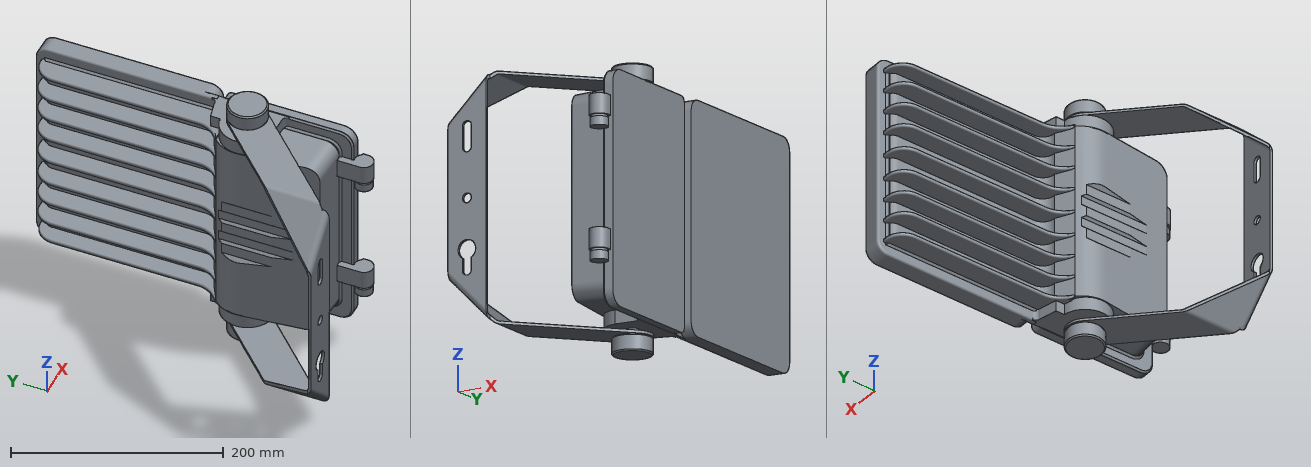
import cadquery as cq
import math


SIN45 = math.sqrt(0.5)

HALF_WIDTH = 114.7
RIM_BACK_X = 20.5
RIM_FRONT_X = 39.3
RIM_TOP_Y = 227.5
RIM_BOTTOM_Y = 42.0
RIM_CORNER_R = 13.0
RIM_EDGE_R = 2.5

PARTING_X = 26.0

BODY_HALF_WIDTH = 102.0
BODY_DRAFT = 2.5
FOOT_FLARE = 2.0
BULGE_R = 35.0
BULGE_CENTER_X = 7.5
BOX_TAPER = math.radians(6.7)
BOX_BOTTOM_Y = -84.5
BOX_CORNER_R = 14.5
FLOOR_X = 14.7
FLOOR_TOP_Y = 216.0
FLOOR_END_LENGTH = 8.5
FLOOR_BLEND_R = 14.0
FLOOR_BLEND_Y = 49.0
FIN_TIP_X = -5.0
OUTER_FIN_TIP_X = -2.8
FIN_TOP_Y = 221.0
FIN_TOP_R = 21.0
FIN_BLEND_R = 28.0
FIN_THICKNESS = 4.2
FIN_EDGE_R = 1.8
INNER_FIN_OFFSETS = (27.0, 52.0, 76.5)
OUTER_FIN_OFFSET = BODY_HALF_WIDTH - FIN_THICKNESS / 2

RECESS_X = -24.0
RECESS_HALF_WIDTH = 31.2
GROOVE_X = -21.5
GROOVE_HALF_WIDTH = 5.0
GROOVE_OFFSET = 12.5
RECESS_MOUTH_X = -35.0

EAR_Z = 114.5
EAR_ROOT_Z = 98.2
EAR_R = 27.0
EAR_SHOULDER_X = -3.5
EAR_SHOULDER_Y = 36.5
EAR_TOP_Y = 41.0
EAR_FILLET_R = 5.0

FLANGE_X = 24.0
FLANGE_CHAMFER = 1.8
LID_FRONT_X = 35.0
LID_TOP_Y = 36.5
LID_BOTTOM_Y = -98.0
LID_TOP_CORNER_R = 5.5
LID_BOTTOM_CORNER_R = 14.7

HINGE_R = 9.5
HINGE_X = 26.3
HINGE_Y = -108.0
HINGE_WEB_Y = -103.0
HINGE_TOPS = (86.0, -44.0)
HINGE_ARM_HEIGHT = 19.5
PIN_R = 4.2
PIN_DEPTH = 14.0
PIN_HEAD_R = 8.8
PIN_HEAD_HEIGHT = 11.0
PIN_HEAD_CHAMFER = 2.5
PIN_HEAD_CHAMFER_IN = 1.0

SHEET = 2.8
BEND_R = 6.3
STRIP_HALF_WIDTH = 20.0
BRACKET_Z = 122.5
BRACKET_BEND_X = -83.5
BRACKET_BACK_X = -129.0
BASE_FRONT_X = -87.7
BASE_Y = -123.5
SLOT_X = -108.5
SLOT_WIDTH = 9.5
SLOT_END = 74.7
SLOT_START = 44.5
KEYHOLE_DIA = 19.0
KEYHOLE_Z = -49.8

BOLT_DIA = 12.5
KNOB_DIA = 39.3
KNOB_TOP_Z = 139.3
KNOB_CHAMFER = 1.5


def box(x, y, z):
    """Box between pairs of limits."""
    size = (x[1] - x[0], y[1] - y[0], z[1] - z[0])
    return cq.Workplane("XY").box(*size, centered=False).translate((x[0], y[0], z[0]))


def extruded(profile, z_from, z_to):
    """XY profile extruded between two heights."""
    return profile.extrude(z_to - z_from).translate((0, 0, z_from))


def bulge_point(angle):
    """Point on the bulge arc, at an angle from -X towards +Y."""
    return (BULGE_CENTER_X - BULGE_R * math.cos(angle), BULGE_R * math.sin(angle))


def make_draft_envelope():
    """Block with drafted sides and rounded lower corners that bounds the gear box."""
    height = RIM_TOP_Y - BOX_BOTTOM_Y
    base = cq.Workplane("YZ").center(RIM_TOP_Y - height / 2, 0).rect(height, 2 * BODY_HALF_WIDTH)
    block = base.extrude(RECESS_MOUTH_X - PARTING_X, taper=BODY_DRAFT)
    block = block.translate((PARTING_X, 0, 0))
    return block.faces("<Y").edges("not(|Z)").fillet(BOX_CORNER_R)


def make_gear_box():
    """Bulge and tapered gear box."""
    taper_start = bulge_point(-BOX_TAPER)
    bottom_x = taper_start[0] + (taper_start[1] - BOX_BOTTOM_Y) * math.tan(BOX_TAPER)
    profile = (
        cq.Workplane("XY")
        .moveTo(PARTING_X, BOX_BOTTOM_Y)
        .lineTo(bottom_x, BOX_BOTTOM_Y)
        .lineTo(*taper_start)
        .threePointArc(bulge_point(math.pi / 8), bulge_point(math.pi / 4))
        .lineTo(PARTING_X, bulge_point(math.pi / 4)[1])
        .close()
    )
    return extruded(profile, -BODY_HALF_WIDTH, BODY_HALF_WIDTH)


def make_finned_floor():
    """Floor between the fins, sweeping up to the bulge."""
    end_y = FLOOR_TOP_Y - FLOOR_END_LENGTH
    end_depth = RIM_BACK_X - FLOOR_X
    end_r = (end_depth**2 + FLOOR_END_LENGTH**2) / (2 * end_depth)
    end_half_angle = math.asin(FLOOR_END_LENGTH / end_r) / 2
    end_mid = (
        FLOOR_X + end_r * (1 - math.cos(end_half_angle)),
        end_y + end_r * math.sin(end_half_angle),
    )
    blend_mid = (
        FLOOR_X - FLOOR_BLEND_R * (1 - SIN45),
        FLOOR_BLEND_Y - FLOOR_BLEND_R * SIN45,
    )
    profile = (
        cq.Workplane("XY")
        .moveTo(PARTING_X, FLOOR_TOP_Y)
        .lineTo(RIM_BACK_X, FLOOR_TOP_Y)
        .threePointArc(end_mid, (FLOOR_X, end_y))
        .lineTo(FLOOR_X, FLOOR_BLEND_Y)
        .threePointArc(blend_mid, (FLOOR_X - FLOOR_BLEND_R, FLOOR_BLEND_Y - FLOOR_BLEND_R))
        .lineTo(*bulge_point(math.pi / 4))
        .lineTo(PARTING_X, bulge_point(math.pi / 4)[1])
        .close()
    )
    return extruded(profile, -BODY_HALF_WIDTH, BODY_HALF_WIDTH)


def make_fin(z, tip_x):
    """One fin, rounded at its top and blending into the bulge at 45 degrees."""
    bulge_end = bulge_point(math.pi / 4)
    blend_x = tip_x - FIN_BLEND_R * (1 - SIN45)
    blend_y = bulge_end[1] + blend_x - bulge_end[0]
    tip_y = blend_y + FIN_BLEND_R * SIN45
    blend_mid = (
        tip_x - FIN_BLEND_R * (1 - math.cos(math.pi / 8)),
        tip_y - FIN_BLEND_R * math.sin(math.pi / 8),
    )
    top_mid = (
        tip_x + FIN_TOP_R * (1 - SIN45),
        FIN_TOP_Y - FIN_TOP_R * (1 - SIN45),
    )
    profile = (
        cq.Workplane("XY")
        .moveTo(PARTING_X, FIN_TOP_Y)
        .lineTo(tip_x + FIN_TOP_R, FIN_TOP_Y)
        .threePointArc(top_mid, (tip_x, FIN_TOP_Y - FIN_TOP_R))
        .lineTo(tip_x, tip_y)
        .threePointArc(blend_mid, (blend_x, blend_y))
        .lineTo(*bulge_end)
        .lineTo(PARTING_X, bulge_end[1])
        .close()
    )
    fin = extruded(profile, z - FIN_THICKNESS / 2, z + FIN_THICKNESS / 2)
    return fin.faces("<Z or >Z").edges("not(>X or <Y)").fillet(FIN_EDGE_R)


def make_foot(face_x, bottom_y, top_y, rounded):
    """Plate under the body whose edge flares out at 45 degrees onto the face it stands on."""
    half_width = BODY_HALF_WIDTH + FOOT_FLARE
    plate = box((face_x - FOOT_FLARE, PARTING_X), (bottom_y, top_y), (-half_width, half_width))
    if rounded:
        plate = plate.edges("|X and <Y").fillet(BOX_CORNER_R)
    return plate.faces("<X").edges().chamfer(FOOT_FLARE)


def make_fins():
    """All fins; the two outermost are lower and lie flush with the sides."""
    fins = make_fin(0, FIN_TIP_X)
    for side in (-1, 1):
        for offset in INNER_FIN_OFFSETS:
            fins = fins.union(make_fin(side * offset, FIN_TIP_X))
        fins = fins.union(make_fin(side * OUTER_FIN_OFFSET, OUTER_FIN_TIP_X))
    return fins


def make_rim():
    """Frame around the light opening: a back part that joins the ears and a rounded front part."""
    back = box((RIM_BACK_X, PARTING_X), (EAR_TOP_Y, RIM_TOP_Y), (-HALF_WIDTH, HALF_WIDTH))
    back = back.edges("|X and >Y").fillet(RIM_CORNER_R)
    back = back.faces("<X").edges("not(<Y)").fillet(RIM_EDGE_R)
    front = box((PARTING_X, RIM_FRONT_X), (RIM_BOTTOM_Y, RIM_TOP_Y), (-HALF_WIDTH, HALF_WIDTH))
    return back.union(front.edges("|X").fillet(RIM_CORNER_R))


def make_ears():
    """Bolt ears: a slab with a round boss on the tilt axis, filleted into the rim and flange."""
    quarter = EAR_FILLET_R * (1 - SIN45)
    slab = (
        cq.Workplane("XY")
        .moveTo(PARTING_X, EAR_TOP_Y + EAR_FILLET_R)
        .lineTo(RIM_BACK_X, EAR_TOP_Y + EAR_FILLET_R)
        .threePointArc(
            (RIM_BACK_X - quarter, EAR_TOP_Y + quarter), (RIM_BACK_X - EAR_FILLET_R, EAR_TOP_Y)
        )
        .lineTo(EAR_SHOULDER_X, EAR_SHOULDER_Y)
        .lineTo(EAR_SHOULDER_X, -EAR_R)
        .lineTo(FLANGE_X - EAR_FILLET_R, -EAR_R)
        .threePointArc((FLANGE_X - quarter, -EAR_R - quarter), (FLANGE_X, -EAR_R - EAR_FILLET_R))
        .lineTo(PARTING_X, -EAR_R - EAR_FILLET_R)
        .close()
    )
    ear = extruded(slab, EAR_ROOT_Z, EAR_Z)
    ear = ear.union(extruded(cq.Workplane("XY").circle(EAR_R), EAR_ROOT_Z, EAR_Z))
    ear = ear.intersect(box((-EAR_R, PARTING_X), (-HALF_WIDTH, HALF_WIDTH), (EAR_ROOT_Z, EAR_Z)))
    return ear.union(ear.mirror("XY"))


def cover_outline(x_from, x_to):
    """Plate with the outline of the gear compartment."""
    plate = box((x_from, x_to), (LID_BOTTOM_Y, LID_TOP_Y), (-HALF_WIDTH, HALF_WIDTH))
    plate = plate.edges("|X and >Y").fillet(LID_TOP_CORNER_R)
    return plate.edges("|X and <Y").fillet(LID_BOTTOM_CORNER_R)


def make_recess():
    """Cutter for the grip recess and its two grooves."""

    def trough(floor_x, half_width, z):
        mouth_half = half_width + floor_x - RECESS_MOUTH_X
        points = [
            (floor_x, z - half_width),
            (floor_x, z + half_width),
            (RECESS_MOUTH_X, z + mouth_half),
            (RECESS_MOUTH_X, z - mouth_half),
        ]
        return cq.Workplane("XZ").polyline(points).close().extrude(-BOX_BOTTOM_Y, both=True)

    cutter = trough(RECESS_X, RECESS_HALF_WIDTH, 0)
    for side in (-1, 1):
        cutter = cutter.union(trough(GROOVE_X, GROOVE_HALF_WIDTH, side * GROOVE_OFFSET))
    return cutter


def make_hinge_arm(top_z):
    """Arm from the flange to a hinge barrel, with a blind hole for the pin."""
    bottom_z = top_z - HINGE_ARM_HEIGHT
    points = [
        (HINGE_X - HINGE_R, BOX_BOTTOM_Y),
        (FLANGE_X, BOX_BOTTOM_Y),
        (FLANGE_X, LID_BOTTOM_Y),
        (HINGE_X + HINGE_R, HINGE_WEB_Y),
        (HINGE_X + HINGE_R, HINGE_Y),
        (HINGE_X - HINGE_R, HINGE_Y),
    ]
    arm = extruded(cq.Workplane("XY").polyline(points).close(), bottom_z, top_z)
    barrel = extruded(cq.Workplane("XY").center(HINGE_X, HINGE_Y).circle(HINGE_R), bottom_z, top_z)
    hole = cq.Workplane("XY").center(HINGE_X, HINGE_Y).circle(PIN_R)
    hole = extruded(hole, bottom_z, bottom_z + PIN_DEPTH)
    return arm.union(barrel).cut(hole)


def make_housing():
    """Housing casting with fins, gear box, ears, recess and hinge arms."""
    flange = cover_outline(FLANGE_X, PARTING_X).faces("<X").edges().chamfer(FLANGE_CHAMFER)
    gear_box = make_gear_box().intersect(make_draft_envelope())
    body = gear_box.union(make_finned_floor()).union(make_fins()).cut(make_recess())
    lamp_foot = make_foot(RIM_BACK_X, EAR_TOP_Y, FLOOR_TOP_Y + FOOT_FLARE, rounded=False)
    box_foot = make_foot(FLANGE_X, BOX_BOTTOM_Y - FOOT_FLARE, EAR_TOP_Y, rounded=True)
    housing = body.union(lamp_foot).union(box_foot)
    housing = housing.union(make_rim()).union(make_ears()).union(flange)
    for top_z in HINGE_TOPS:
        housing = housing.union(make_hinge_arm(top_z))
    return housing


def make_lid():
    """Flat lid of the gear compartment."""
    return cover_outline(PARTING_X, LID_FRONT_X)


def make_hinge_pin(top_z):
    """Hinge pin: a stem in the hinge arm and a chamfered head below it."""
    arm_bottom = top_z - HINGE_ARM_HEIGHT
    head = extruded(cq.Workplane("XY").circle(PIN_HEAD_R), -PIN_HEAD_HEIGHT, 0)
    head = head.faces(">Z").chamfer(PIN_HEAD_CHAMFER, PIN_HEAD_CHAMFER_IN)
    stem = extruded(cq.Workplane("XY").circle(PIN_R), -PIN_HEAD_HEIGHT, PIN_DEPTH)
    return head.union(stem).translate((HINGE_X, HINGE_Y, arm_bottom))


def bracket_block(inset):
    """Block whose sides and bottom are the bracket faces, moved inwards by an inset."""
    half = BRACKET_Z - inset
    bend_x = BRACKET_BEND_X + inset * math.tan(math.pi / 8)
    back_x = BRACKET_BACK_X - inset
    back_half = half - (bend_x - back_x)
    front_x = STRIP_HALF_WIDTH
    points = [
        (front_x, half),
        (bend_x, half),
        (back_x, back_half),
        (back_x, -back_half),
        (bend_x, -half),
        (front_x, -half),
    ]
    block = cq.Workplane("XZ").polyline(points).close().extrude(STRIP_HALF_WIDTH * 2 - BASE_Y)
    block = block.translate((0, STRIP_HALF_WIDTH * 2 + inset, 0))
    radius = BEND_R - inset
    for side in (-1, 1):
        bend = cq.selectors.NearestToPointSelector((bend_x, 0, side * half))
        block = block.edges("|Y").edges(bend).fillet(radius)
        middle_x = (bend_x + back_x) / 2
        middle_z = side * (half + back_half) / 2
        seam = cq.selectors.NearestToPointSelector((middle_x, BASE_Y + inset, middle_z))
        block = block.faces("<Y").edges(seam).fillet(radius)
    return block


def make_bracket():
    """Bent sheet bracket: two arms at 45 degrees, two slanted panels and a slotted base."""
    shell = bracket_block(0).cut(bracket_block(SHEET))

    corner = STRIP_HALF_WIDTH * SIN45
    bend_y = BRACKET_BEND_X + 2 * corner
    panel_end_y = bend_y - (BRACKET_BEND_X - BRACKET_BACK_X) / SIN45
    outline = (
        cq.Workplane("XY")
        .moveTo(corner, -corner)
        .threePointArc((corner, corner), (-corner, corner))
        .lineTo(BRACKET_BEND_X, bend_y)
        .lineTo(BRACKET_BACK_X, panel_end_y)
        .lineTo(BRACKET_BACK_X, BASE_Y)
        .lineTo(BASE_FRONT_X, BASE_Y)
        .lineTo(BASE_FRONT_X, BASE_FRONT_X - 2 * corner)
        .close()
    )
    bracket = shell.intersect(extruded(outline, -BRACKET_Z, BRACKET_Z))

    def base_cut(z, length, width):
        tool = cq.Workplane("XZ").center(SLOT_X, z)
        tool = tool.slot2D(length, width, 90) if length > width else tool.circle(width / 2)
        return tool.extrude(2 * SHEET, both=True).translate((0, BASE_Y, 0))

    slot_length = SLOT_END - SLOT_START
    slot_middle = (SLOT_END + SLOT_START) / 2
    bracket = bracket.cut(base_cut(slot_middle, slot_length, SLOT_WIDTH))
    bracket = bracket.cut(base_cut(-slot_middle, slot_length, SLOT_WIDTH))
    bracket = bracket.cut(base_cut(KEYHOLE_Z, KEYHOLE_DIA, KEYHOLE_DIA))
    bracket = bracket.cut(base_cut(0, SLOT_WIDTH, SLOT_WIDTH))
    bolt_holes = extruded(cq.Workplane("XY").circle(BOLT_DIA / 2), -BRACKET_Z, BRACKET_Z)
    return bracket.cut(bolt_holes)


def make_knob_bolt(side):
    """Knob with a shaft that passes through the bracket arm to the ear."""
    knob = extruded(cq.Workplane("XY").circle(KNOB_DIA / 2), BRACKET_Z, KNOB_TOP_Z)
    knob = knob.edges().chamfer(KNOB_CHAMFER)
    bolt = knob.union(extruded(cq.Workplane("XY").circle(BOLT_DIA / 2), EAR_Z, KNOB_TOP_Z))
    return bolt if side > 0 else bolt.mirror("XY")


housing = make_housing()
lid = make_lid()
bracket = make_bracket()
hinge_pins = [make_hinge_pin(top_z) for top_z in HINGE_TOPS]
knob_bolts = [make_knob_bolt(side) for side in (-1, 1)]

result = cq.Compound.makeCompound(
    [
        housing.val(),
        lid.val(),
        bracket.val(),
        *[pin.val() for pin in hinge_pins],
        *[bolt.val() for bolt in knob_bolts],
    ]
)